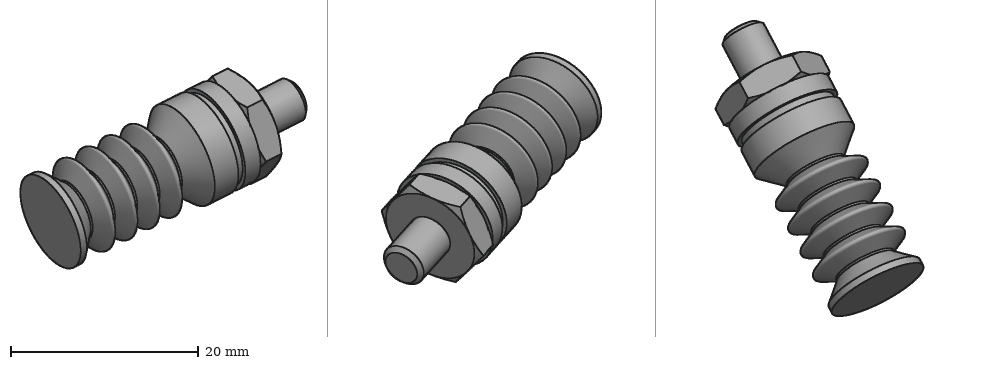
import cadquery as cq
import math


lip_radius = 5.5
lip_thickness = 0.8
neck_radius = 3.45
neck_width = 0.25
first_neck_y = 2.95
fold_count = 4
fold_pitch = 2.95
fold_slope = math.radians(30)
crest_round = 0.3

body_radius = 6.0
shoulder_y = 17.35
groove_radius = 5.5
groove_start_y = 20.47
groove_end_y = 21.38

hex_start_y = 23.4
hex_end_y = 26.4
hex_across_flats = 11.0
hex_tilt = 3.0
hex_bevel_angle = math.radians(30)
stud_radius = 2.5
stud_chamfer = 0.52
total_length = 32.4


def add_fold(profile, neck_y):
    """Continue the (radius, y) outline from one neck over a rounded fold to the next neck."""
    crest_y = neck_y + fold_pitch / 2
    tangent_radius = lip_radius - crest_round * (1 - math.sin(fold_slope))
    tangent_offset = crest_round * math.cos(fold_slope)
    return (
        profile.lineTo(neck_radius, neck_y + neck_width / 2)
        .lineTo(tangent_radius, crest_y - tangent_offset)
        .threePointArc((lip_radius, crest_y), (tangent_radius, crest_y + tangent_offset))
        .lineTo(neck_radius, neck_y + fold_pitch - neck_width / 2)
    )


def make_turned_body():
    """Revolve the cup, bellows, grooved body and stud as one outline."""
    profile = (
        cq.Workplane("XY")
        .lineTo(lip_radius, 0)
        .lineTo(lip_radius, lip_thickness)
        .lineTo(neck_radius, first_neck_y - neck_width / 2)
    )
    for index in range(fold_count):
        profile = add_fold(profile, first_neck_y + index * fold_pitch)
    last_neck_y = first_neck_y + fold_count * fold_pitch
    profile = (
        profile.lineTo(neck_radius, last_neck_y + neck_width / 2)
        .lineTo(body_radius, shoulder_y)
        .lineTo(body_radius, groove_start_y)
        .lineTo(groove_radius, groove_start_y)
        .lineTo(groove_radius, groove_end_y)
        .lineTo(body_radius, groove_end_y)
        .lineTo(body_radius, hex_start_y)
        .lineTo(stud_radius, hex_start_y)
        .lineTo(stud_radius, total_length - stud_chamfer)
        .lineTo(stud_radius - stud_chamfer, total_length)
        .lineTo(0, total_length)
        .close()
    )
    return profile.revolve(360, (0, 0), (0, 1))


def make_hex_nut():
    """Hexagon with its corners bevelled on both end faces."""
    flat_radius = hex_across_flats / 2
    corner_radius = flat_radius / math.cos(math.pi / 6)
    bevel_length = (corner_radius - flat_radius) * math.tan(hex_bevel_angle)
    prism = (
        cq.Workplane("XZ", origin=(0, hex_start_y, 0))
        .polygon(6, 2 * corner_radius)
        .extrude(hex_start_y - hex_end_y)
        .rotate((0, 0, 0), (0, 1, 0), -hex_tilt)
    )
    bevelled_disc = (
        cq.Workplane("XY")
        .moveTo(0, hex_start_y)
        .lineTo(flat_radius, hex_start_y)
        .lineTo(corner_radius, hex_start_y + bevel_length)
        .lineTo(corner_radius, hex_end_y - bevel_length)
        .lineTo(flat_radius, hex_end_y)
        .lineTo(0, hex_end_y)
        .close()
        .revolve(360, (0, 0), (0, 1))
    )
    return prism.intersect(bevelled_disc)


result = make_turned_body().union(make_hex_nut())